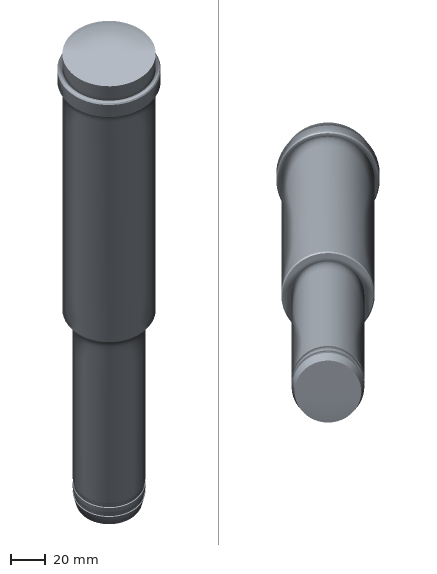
import cadquery as cq

total_height = 363.0
shoulder_height = 154.5
collar_bottom = 340.0
collar_thickness = 11.3

pin_diameter = 42.0
body_diameter = 54.0
collar_diameter = 60.0

collar_chamfer = 0.7
body_chamfer = 0.7
tip_taper_height = 7.5
tip_taper_inset = 1.8

groove_width = 4.0
groove_depth = 0.7
groove_pitch = 7.3
groove_count = 2
first_groove_bottom = tip_taper_height


def cylinder(diameter, bottom, top):
    """Solid cylinder on the Z axis between two heights."""
    return cq.Workplane("XY").workplane(offset=bottom).circle(diameter / 2).extrude(top - bottom)


def make_pin():
    """Lower pin with its tapered tip."""
    radius = pin_diameter / 2
    return (
        cq.Workplane("XZ")
        .moveTo(0, 0)
        .lineTo(radius - tip_taper_inset, 0)
        .lineTo(radius, tip_taper_height)
        .lineTo(radius, shoulder_height)
        .lineTo(0, shoulder_height)
        .close()
        .revolve(360, (0, 0), (0, 1))
    )


def make_groove(bottom):
    """Ring of material to remove from the pin."""
    top = bottom + groove_width
    core = cylinder(pin_diameter - 2 * groove_depth, bottom, top)
    return cylinder(body_diameter, bottom, top).cut(core)


pin = make_pin()
for index in range(groove_count):
    pin = pin.cut(make_groove(first_groove_bottom + index * groove_pitch))

body = cylinder(body_diameter, shoulder_height, total_height).faces("<Z").chamfer(body_chamfer)
collar = cylinder(collar_diameter, collar_bottom, collar_bottom + collar_thickness)
collar = collar.faces("<Z or >Z").chamfer(collar_chamfer)

result = pin.union(body).union(collar)